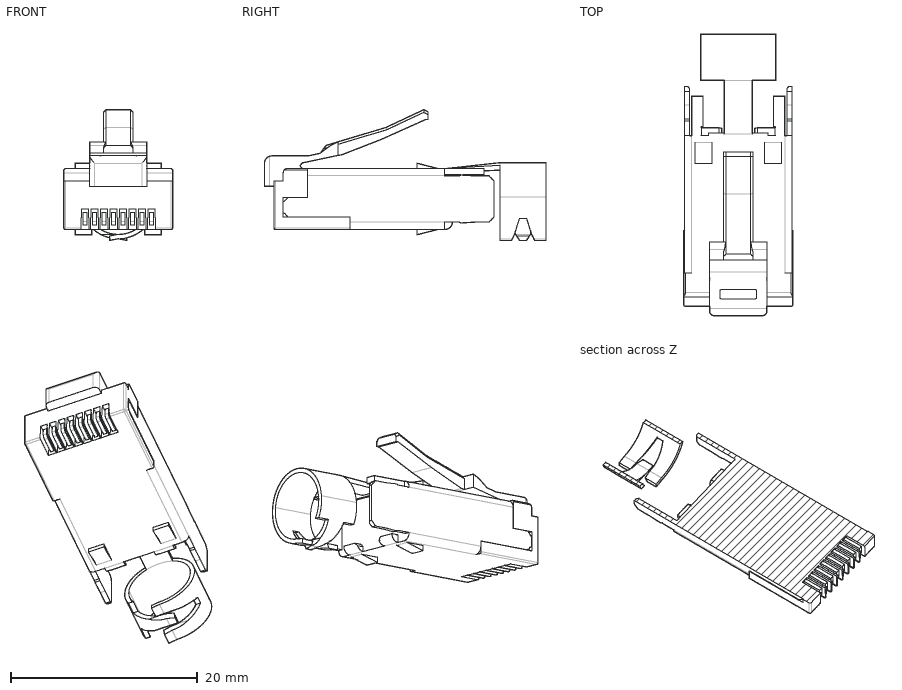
import cadquery as cq
import math


OVERLAP = 0.3

HOUSING_HALF = 11.7 / 2
SHELL_HALF = 11.57 / 2
BOTTOM_Z = 1.18
TOP_Z = 7.73
SHELL_ROUND = 0.8
FRONT_Y = 1.03
SHELL_REAR_Y = 19.33
STEP_Y = 2.02
STEP_Z = 6.37
HOUSING_REAR_Y = 4.62
SKIRT_REAR_Y = 9.18
SKIRT_TOP_Z = 2.55
TONGUE_TOP_Z = 4.62
TONGUE_GAP = 0.1
TONGUE_CHAMFER = 0.42
EDGE_ROUND = 0.18
STEP_ROUND = 0.48

PLATE_THICKNESS = 0.57
PLATE_END_Y = 24.6
PLATE_CHAMFER = 0.55
PLATE_TIP_CHAMFER = 0.2
PLATE_BUMP = 0.1
PLATE_BUMP_FRONT_Y = 21.08
PLATE_BUMP_RAMP = 0.2
PLATE_BUMP_REAR_Y = 22.6
LID_THICKNESS = 0.7
LID_END_Y = 19.63
LID_NOTCH_INNER_X = 3.2
LID_NOTCH_OUTER_X = 3.95
LID_NOTCH_END_Y = 20.3
BAR_INNER_X = 3.78
BAR_OUTER_X = SHELL_HALF - SHELL_ROUND
BAR_END_Y = 23.55
LIP_INNER_X = 1.75
LIP_OUTER_X = 3.95
LIP_CHAMFER = 0.33
LIP_END_Y = 20.17

WEDGE_INNER_X = 2.85
WEDGE_OUTER_X = 4.62
WEDGE_FRONT_Y = 16.35
WEDGE_REAR_Y = 18.6
WEDGE_HEIGHT = 0.57

LATCH_HALF = 3.08
LATCH_BOTTOM_Z = 5.8
LATCH_TOP_Z = 9.1
NOSE_ROUND = 0.82
NOSE_SIDE_ROUND = 0.55
NOSE_END_Y = 4.7
HINGE_Y = 4.05
HINGE_NOTCH = (3.85, 8.0)
HINGE_UNDERSIDE_Z = 8.3
EAR_END_Y = 7.9
EAR_TOP_Z = 10.57
EAR_BEND = (7.13, 10.2)
ARM_HALF = 1.6
ARM_FOOT = (5.98, 9.35)
ARM_UNDERSIDE = (EAR_END_Y, 9.12)
ARM_STEP = (6.6, 10.2)
ARM_BEND = (13.05, 12.15)
ARM_PEAK = (17.1, 14.05)
ARM_END_Y = 17.55
ARM_END_TOP_Z = 13.8
ARM_END_BOTTOM_Z = 12.95
ARM_END_FLAT = 0.27
ARM_LOWER_BENDS = ((12.55, 10.85), (8.3, 9.18))
ARM_CHAMFER = 0.27
SLOT_HALF = 1.95
SLOT_FRONT_Y = 1.8
SLOT_WIDTH = 1.03
SLOT_DEPTH = 0.9
SLOT_CORNER = 0.18

CONTACT_COUNT = 8
CONTACT_SPAN = 7.13
POCKET_TOP_WIDTH = 0.72
POCKET_BOTTOM_WIDTH = 0.9
POCKET_TOP_Z = 3.38
POCKET_DEPTH = 2.42
BLADE_WIDTH = 0.4
BLADE_BOTTOM_Z = 1.7
BLADE_TOP_Z = 3.02
BLADE_SETBACK = 0.3
BLADE_ROUND = 0.35

RING_HALF_WIDTH = 4.02
RING_TOP_Z = 8.37
RING_SEAM_Z = 4.68
RING_BOTTOM_Z = 0.18
RING_THICKNESS = 0.48
RING_FRONT_Y = 25.25
RING_END_Y = 30.2
TIP_REACH = 0.95
FINGER_ROOT_Z = 2.35
FINGER_SHOULDER_Z = 0.65
FINGER_ROOT_HALF = 1.12
FINGER_SHOULDER_HALF = 0.82
FINGER_TIP_HALF = 0.35
GAP_ROOT_HALF = 0.4
GAP_SHOULDER_HALF = 0.9
GAP_TIP_HALF = 1.25
STRAP_HALF = 3.05 / 2


def box(x0, x1, y0, y1, z0, z1):
    """Block between two opposite corners."""
    return cq.Workplane("XY").box(x1 - x0, y1 - y0, z1 - z0, centered=False).translate((x0, y0, z0))


def side_profile(points, x0, x1):
    """Extrude an outline of (y, z) points from x0 to x1."""
    return cq.Workplane("YZ", origin=(x0, 0, 0)).polyline(points).close().extrude(x1 - x0)


def both_sides(solid):
    """The solid together with its mirror image across X = 0."""
    return solid.union(solid.mirror("YZ"))


def make_shell():
    """Rounded sleeve, solid inside, with a narrower side tongue reaching forward to the step."""
    sleeve = box(-SHELL_HALF, SHELL_HALF, HOUSING_REAR_Y, SHELL_REAR_Y, BOTTOM_Z, TOP_Z)
    tongue = box(-SHELL_HALF, SHELL_HALF, STEP_Y, HOUSING_REAR_Y, SKIRT_TOP_Z, TONGUE_TOP_Z)
    return sleeve.edges("|Y").fillet(SHELL_ROUND).union(tongue)


def make_housing():
    """Front housing block with its stepped top and the recesses for the shell's side tongues."""
    upper = box(-HOUSING_HALF, HOUSING_HALF, STEP_Y, HOUSING_REAR_Y, TONGUE_TOP_Z, TOP_Z)
    upper = upper.edges("|Y and >Z").chamfer(EDGE_ROUND).edges("|X and >Z and <Y").fillet(STEP_ROUND)
    front = box(-HOUSING_HALF, HOUSING_HALF, FRONT_Y, STEP_Y, BOTTOM_Z, STEP_Z)
    skirt = box(-HOUSING_HALF, HOUSING_HALF, STEP_Y, SKIRT_REAR_Y, BOTTOM_Z, SKIRT_TOP_Z)
    lower = front.union(skirt)
    lower = lower.edges("(|Z and <Y) or (|Y and <Z) or (|X and <Y and <Z)").fillet(EDGE_ROUND)
    return lower.union(upper)


def make_tongue_corners():
    """Clearance at the chamfered tips of the shell's side tongues."""
    cuts = None
    tip_y = STEP_Y + TONGUE_GAP
    depth = HOUSING_HALF - SHELL_HALF + PLATE_THICKNESS
    for z, inward in ((TONGUE_TOP_Z, -1), (SKIRT_TOP_Z, 1)):
        corner = [
            (STEP_Y, z),
            (tip_y + TONGUE_CHAMFER, z),
            (tip_y, z + inward * TONGUE_CHAMFER),
            (STEP_Y, z + inward * TONGUE_CHAMFER),
        ]
        cut = side_profile(corner, HOUSING_HALF - depth, HOUSING_HALF)
        cuts = cut if cuts is None else cuts.union(cut)
    return both_sides(cuts)


def make_side_plates():
    """Side walls reaching behind the shell, with a small barb on the upper and lower edges."""
    low = BOTTOM_Z + SHELL_ROUND
    high = TOP_Z - SHELL_ROUND
    middle_z = (low + high) / 2
    lower_edge = [
        (SHELL_REAR_Y - OVERLAP, low),
        (PLATE_BUMP_FRONT_Y - PLATE_BUMP_RAMP, low),
        (PLATE_BUMP_FRONT_Y, low - PLATE_BUMP),
        (PLATE_BUMP_REAR_Y, low),
        (PLATE_END_Y - PLATE_CHAMFER, low),
        (PLATE_END_Y, low + PLATE_CHAMFER),
    ]
    upper_edge = [(y, 2 * middle_z - z) for y, z in reversed(lower_edge)]
    plate = side_profile(lower_edge + upper_edge, SHELL_HALF - PLATE_THICKNESS, SHELL_HALF)
    plate = plate.edges("|Z and >Y and <X").chamfer(PLATE_TIP_CHAMFER)
    return both_sides(plate)


def make_rear_lid():
    """Top sheet end with its two straight bars, relieved at the inner root of each bar."""
    low = TOP_Z - LID_THICKNESS
    lid = box(-BAR_OUTER_X, BAR_OUTER_X, SHELL_REAR_Y - OVERLAP, LID_END_Y, low, TOP_Z)
    bar = box(BAR_INNER_X, BAR_OUTER_X, SHELL_REAR_Y - OVERLAP, BAR_END_Y, low, TOP_Z)
    notch = box(LID_NOTCH_INNER_X, LID_NOTCH_OUTER_X, SHELL_REAR_Y, LID_NOTCH_END_Y, low, TOP_Z)
    return lid.union(both_sides(bar)).cut(both_sides(notch))


def make_rear_lips():
    """Rounded lips where the bottom sheet turns up, one on each side of the cable."""
    length = LIP_END_Y - SHELL_REAR_Y
    bulge = math.sqrt(0.5)
    lip = (
        cq.Workplane("YZ", origin=(LIP_INNER_X, 0, 0))
        .moveTo(SHELL_REAR_Y - OVERLAP, BOTTOM_Z)
        .lineTo(SHELL_REAR_Y, BOTTOM_Z)
        .threePointArc(
            (SHELL_REAR_Y + length * bulge, BOTTOM_Z + length * (1 - bulge)),
            (LIP_END_Y, BOTTOM_Z + length),
        )
        .lineTo(SHELL_REAR_Y - OVERLAP, BOTTOM_Z + length)
        .close()
        .extrude(LIP_OUTER_X - LIP_INNER_X)
    )
    lip = lip.edges("|Y and <X and >Z").chamfer(LIP_CHAMFER)
    return both_sides(lip)


def make_wedges():
    """Ramped locking teeth above and below, rising toward the front."""
    wedges = None
    for z, out in ((TOP_Z, 1), (BOTTOM_Z, -1)):
        triangle = [
            (WEDGE_FRONT_Y, z - out * OVERLAP),
            (WEDGE_FRONT_Y, z + out * WEDGE_HEIGHT),
            (WEDGE_REAR_Y, z),
            (WEDGE_REAR_Y, z - out * OVERLAP),
        ]
        wedge = side_profile(triangle, WEDGE_INNER_X, WEDGE_OUTER_X)
        wedges = wedge if wedges is None else wedges.union(wedge)
    return both_sides(wedges)


def make_latch_base():
    """Wide nose and hinge of the latch, ending in two ears beside the arm."""
    arc_reach = NOSE_ROUND * (1 - math.sqrt(0.5))
    profile = (
        cq.Workplane("YZ", origin=(-LATCH_HALF, 0, 0))
        .moveTo(0, LATCH_BOTTOM_Z)
        .lineTo(0, LATCH_TOP_Z - NOSE_ROUND)
        .threePointArc((arc_reach, LATCH_TOP_Z - arc_reach), (NOSE_ROUND, LATCH_TOP_Z))
        .lineTo(NOSE_END_Y, LATCH_TOP_Z)
        .lineTo(*ARM_FOOT)
        .lineTo(*EAR_BEND)
        .lineTo(EAR_END_Y, EAR_TOP_Z)
        .lineTo(*ARM_UNDERSIDE)
        .lineTo(HINGE_Y, HINGE_UNDERSIDE_Z)
        .lineTo(*HINGE_NOTCH)
        .lineTo(HINGE_Y, TOP_Z)
        .lineTo(HINGE_Y, LATCH_BOTTOM_Z)
        .close()
    )
    plan = box(-LATCH_HALF, LATCH_HALF, 0, EAR_END_Y, LATCH_BOTTOM_Z, EAR_TOP_Z)
    plan = plan.edges("|Z and <Y").fillet(NOSE_SIDE_ROUND)
    base = profile.extrude(2 * LATCH_HALF).intersect(plan)
    slot_z = LATCH_TOP_Z - SLOT_DEPTH
    slot = box(-SLOT_HALF, SLOT_HALF, SLOT_FRONT_Y, SLOT_FRONT_Y + SLOT_WIDTH, slot_z, LATCH_TOP_Z)
    return base.cut(slot.edges("|Z").fillet(SLOT_CORNER))


def make_latch_arm():
    """Bent finger lever, chamfered along its upward-facing surfaces."""
    outline = [
        ARM_FOOT,
        ARM_STEP,
        ARM_BEND,
        ARM_PEAK,
        (ARM_END_Y, ARM_END_TOP_Z),
        (ARM_END_Y, ARM_END_BOTTOM_Z),
        (ARM_END_Y - ARM_END_FLAT, ARM_END_BOTTOM_Z),
        *ARM_LOWER_BENDS,
        ARM_UNDERSIDE,
    ]
    arm = side_profile(outline, -ARM_HALF, ARM_HALF)
    upper_edges = (
        arm.faces()
        .filter(lambda face: face.normalAt().z > 0.5 and face.Center().y > EAR_END_Y)
        .edges("not |X")
    )
    return upper_edges.chamfer(ARM_CHAMFER)


def contact_positions():
    pitch = CONTACT_SPAN / (CONTACT_COUNT - 1)
    return [pitch * index - CONTACT_SPAN / 2 for index in range(CONTACT_COUNT)]


def make_contact_pockets():
    """Slots open to the front and bottom, each leaving a contact blade standing inside."""
    pockets = None
    back_y = FRONT_Y + POCKET_DEPTH
    for x in contact_positions():
        section = [
            (x - POCKET_BOTTOM_WIDTH / 2, BOTTOM_Z),
            (x - POCKET_TOP_WIDTH / 2, POCKET_TOP_Z),
            (x + POCKET_TOP_WIDTH / 2, POCKET_TOP_Z),
            (x + POCKET_BOTTOM_WIDTH / 2, BOTTOM_Z),
        ]
        pocket = cq.Workplane("XZ", origin=(0, FRONT_Y, 0)).polyline(section).close().extrude(-POCKET_DEPTH)
        half = BLADE_WIDTH / 2
        blade = box(x - half, x + half, FRONT_Y + BLADE_SETBACK, back_y, BLADE_BOTTOM_Z, BLADE_TOP_Z)
        blade = blade.edges("|X and <Y and <Z").fillet(BLADE_ROUND)
        pocket = pocket.cut(blade)
        pockets = pocket if pockets is None else pockets.union(pocket)
    return pockets


def make_ring_tip():
    """Straight end of the +X arm, running down from the ring's lowest line past X = 0."""
    outline = [
        (0, RING_BOTTOM_Z),
        (-TIP_REACH, 0),
        (-TIP_REACH, RING_THICKNESS),
        (0, RING_BOTTOM_Z + RING_THICKNESS),
    ]
    tip = cq.Workplane("XZ", origin=(0, RING_FRONT_Y, 0)).polyline(outline).close()
    return tip.extrude(RING_FRONT_Y - RING_END_Y)


def make_finger_outline(root_half, shoulder_half, tip_half):
    """Tapering finger shape across the lower part of the ring, centred on the ring's length."""
    middle_y = (RING_FRONT_Y + RING_END_Y) / 2
    outline = [
        (middle_y - root_half, FINGER_ROOT_Z),
        (middle_y - shoulder_half, FINGER_SHOULDER_Z),
        (middle_y - tip_half, 0),
        (middle_y + tip_half, 0),
        (middle_y + shoulder_half, FINGER_SHOULDER_Z),
        (middle_y + root_half, FINGER_ROOT_Z),
    ]
    return side_profile(outline, -RING_HALF_WIDTH - OVERLAP, RING_HALF_WIDTH + OVERLAP)


def make_ring_disc(inset):
    """Near-round disc of an upper and a lower arc meeting at the seam height."""
    half_width = RING_HALF_WIDTH - inset
    return (
        cq.Workplane("XZ", origin=(0, RING_FRONT_Y, 0))
        .moveTo(-half_width, RING_SEAM_Z)
        .threePointArc((0, RING_TOP_Z - inset), (half_width, RING_SEAM_Z))
        .threePointArc((0, RING_BOTTOM_Z + inset), (-half_width, RING_SEAM_Z))
        .close()
        .extrude(RING_FRONT_Y - RING_END_Y)
    )


def make_ring():
    """Crimp ring: one finger on the -X side closes between two prongs on the +X side."""
    reach = RING_HALF_WIDTH + OVERLAP
    below_root = box(-reach, reach, RING_FRONT_Y - OVERLAP, RING_END_Y + OVERLAP, -OVERLAP, FINGER_ROOT_Z)
    finger = make_finger_outline(FINGER_ROOT_HALF, FINGER_SHOULDER_HALF, FINGER_TIP_HALF)
    beside_finger = below_root.cut(finger)
    gap = make_finger_outline(GAP_ROOT_HALF, GAP_SHOULDER_HALF, GAP_TIP_HALF)
    left = box(-reach, 0, RING_FRONT_Y - OVERLAP, RING_END_Y + OVERLAP, -OVERLAP, FINGER_ROOT_Z + OVERLAP)
    right = left.mirror("YZ")
    ring = make_ring_disc(0).cut(make_ring_disc(RING_THICKNESS))
    ring = ring.cut(beside_finger.intersect(left)).cut(gap.intersect(right))
    finger_tip = make_ring_tip().mirror("YZ").cut(beside_finger)
    prong_tips = make_ring_tip().cut(gap)
    return ring.union(finger_tip).union(prong_tips)


def strap_heights(inset):
    """Heights of the ring wall, inset from its outside, at the strap's middle and at its edge."""
    half_width = RING_HALF_WIDTH - inset
    top_z = RING_TOP_Z - inset
    rise = top_z - RING_SEAM_Z
    radius = (half_width**2 + rise**2) / (2 * rise)
    edge_z = top_z - radius + math.sqrt(radius**2 - STRAP_HALF**2)
    return top_z, edge_z


def make_strap():
    """Strap blending from the curved ring wall to the flat top sheet."""
    outer_top_z, outer_edge_z = strap_heights(0)
    inner_top_z, inner_edge_z = strap_heights(RING_THICKNESS)
    low = TOP_Z - RING_THICKNESS
    flat_y = LID_END_Y - OVERLAP / 2
    return (
        cq.Workplane("XZ", origin=(0, RING_FRONT_Y, 0))
        .moveTo(-STRAP_HALF, outer_edge_z)
        .threePointArc((0, outer_top_z), (STRAP_HALF, outer_edge_z))
        .lineTo(STRAP_HALF, inner_edge_z)
        .threePointArc((0, inner_top_z), (-STRAP_HALF, inner_edge_z))
        .close()
        .workplane(offset=RING_FRONT_Y - flat_y)
        .moveTo(-STRAP_HALF, TOP_Z)
        .lineTo(STRAP_HALF, TOP_Z)
        .lineTo(STRAP_HALF, low)
        .lineTo(-STRAP_HALF, low)
        .close()
        .loft(ruled=True)
    )


plug = make_shell().union(make_housing()).cut(make_tongue_corners())
plug = plug.union(make_side_plates()).union(make_rear_lid()).union(make_rear_lips()).union(make_wedges())
plug = plug.union(make_latch_base()).union(make_latch_arm())
plug = plug.cut(make_contact_pockets())
result = plug.union(make_strap()).union(make_ring())